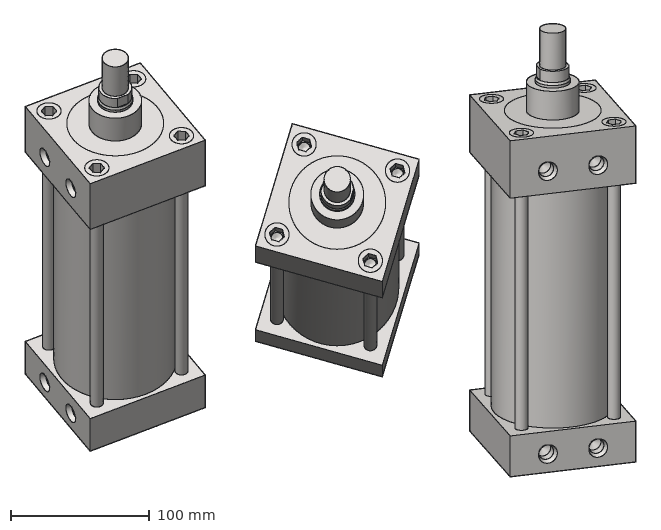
import cadquery as cq
import math

INCH = 25.4

block_width = 3.75 * INCH
cap_height = 1.25 * INCH
head_height = 1.75 * INCH

barrel_diameter = 3.5 * INCH
barrel_length = 7.25 * INCH
tie_rod_diameter = 0.375 * INCH
tie_rod_spacing = 2.76 * INCH

nut_diameter = 0.6875 * INCH
nut_height = 0.75 * INCH
socket_width = 0.375 * INCH
socket_depth = 0.375 * INCH
socket_point_diameter = 0.328125 * INCH

port_diameter = 0.44 * INCH
port_mouth_diameter = 0.56 * INCH
port_mouth_depth = 0.16 * INCH
port_depth = 0.4375 * INCH
port_spacing = 1.5 * INCH
cap_port_height = 0.5625 * INCH
head_port_drop = 1.0625 * INCH

flange_diameter = 2.75 * INCH
hub_diameter = 1.5 * INCH
hub_height = 0.875 * INCH

rod_diameter = 1.0 * INCH
rod_extension = 0.5 * INCH
neck_diameter = 0.9375 * INCH
neck_length = 0.34375 * INCH
taper_length = 0.078125 * INCH
flats_width = 0.875 * INCH
stud_diameter = 0.75 * INCH
stud_length = 1.125 * INCH

DRILL_POINT_ANGLE = 118

head_bottom = cap_height + barrel_length
head_top = head_bottom + head_height
hub_top = head_top + hub_height
shoulder_level = hub_top + rod_extension
neck_bottom = shoulder_level - neck_length
taper_bottom = neck_bottom - taper_length


def cylinder(diameter, bottom, height):
    return cq.Workplane("XY").workplane(offset=bottom).circle(diameter / 2).extrude(height)


def at_corners(bottom):
    """Workplane at the given level with a point on each tie rod axis."""
    plane = cq.Workplane("XY").workplane(offset=bottom)
    return plane.rect(tie_rod_spacing, tie_rod_spacing, forConstruction=True).vertices()


def end_block(bottom, height):
    return cq.Workplane("XY").workplane(offset=bottom).rect(block_width, block_width).extrude(height)


def drill_point_length(diameter):
    return diameter / 2 / math.tan(math.radians(DRILL_POINT_ANGLE / 2))


def port_cutter():
    """Port along +Y from the origin: tapered mouth, straight wall and drill point."""
    radius = port_diameter / 2
    profile = [
        (0, 0),
        (port_mouth_diameter / 2, 0),
        (radius, port_mouth_depth),
        (radius, port_depth),
        (0, port_depth + drill_point_length(port_diameter)),
    ]
    return cq.Workplane("XY").polyline(profile).close().revolve(360, (0, 0), (0, 1))


def cut_ports(block, level):
    """Cut two blind ports into the -Y face of an end block."""
    port = port_cutter()
    for side in (-1, 1):
        block = block.cut(port.translate((side * port_spacing / 2, -block_width / 2, level)))
    return block


def tie_rods():
    """Four tie rods with sleeve nuts, standing on the cap."""
    nut_bottom = head_top - nut_height
    rods = at_corners(cap_height).circle(tie_rod_diameter / 2).extrude(nut_bottom - cap_height)
    return rods.union(at_corners(nut_bottom).circle(nut_diameter / 2).extrude(nut_height))


def socket_cutters():
    """Hexagonal sockets, corners toward -X and +X, with a drill point in the floor."""
    socket_floor = head_top - socket_depth
    corner_diameter = socket_width / math.cos(math.radians(30))
    hexagons = at_corners(socket_floor).polygon(6, corner_diameter).extrude(socket_depth)
    point_length = drill_point_length(socket_point_diameter)
    point_taper = DRILL_POINT_ANGLE / 2
    points = (
        at_corners(socket_floor)
        .circle(socket_point_diameter / 2)
        .extrude(-point_length, taper=point_taper)
    )
    return hexagons.union(points)


def make_barrel():
    """Cap, barrel and tie rods, with a wrench socket in each sleeve nut."""
    body = cut_ports(end_block(0, cap_height), cap_port_height)
    body = body.union(cylinder(barrel_diameter, cap_height, barrel_length))
    return body.union(tie_rods()).cut(socket_cutters())


def make_head():
    """Head block, open for the gland and the tie rods."""
    head = cut_ports(end_block(head_bottom, head_height), head_top - head_port_drop)
    return head.cut(cylinder(flange_diameter, head_bottom, head_height)).cut(tie_rods())


def make_gland():
    """Flange filling the head's bore, with the hub above it and the rod bore through both."""
    gland = cylinder(flange_diameter, head_bottom, head_height)
    gland = gland.union(cylinder(hub_diameter, head_top, hub_height))
    return gland.cut(cylinder(rod_diameter, head_bottom, hub_top - head_bottom))


def make_rod():
    """Rod standing on the barrel, with two flats facing -X and +X on its neck."""
    profile = [
        (0, head_bottom),
        (rod_diameter / 2, head_bottom),
        (rod_diameter / 2, taper_bottom),
        (neck_diameter / 2, neck_bottom),
        (neck_diameter / 2, shoulder_level),
        (stud_diameter / 2, shoulder_level),
        (stud_diameter / 2, shoulder_level + stud_length),
        (0, shoulder_level + stud_length),
    ]
    rod = cq.Workplane("XZ").polyline(profile).close().revolve(360, (0, 0), (0, 1))
    flat_cutter = cq.Workplane("XY").box(rod_diameter, rod_diameter, neck_length)
    for side in (-1, 1):
        x = side * (flats_width + rod_diameter) / 2
        rod = rod.cut(flat_cutter.translate((x, 0, neck_bottom + neck_length / 2)))
    return rod


barrel = make_barrel()
head = make_head()
gland = make_gland()
rod = make_rod()

result = cq.Compound.makeCompound([barrel.val(), head.val(), gland.val(), rod.val()])